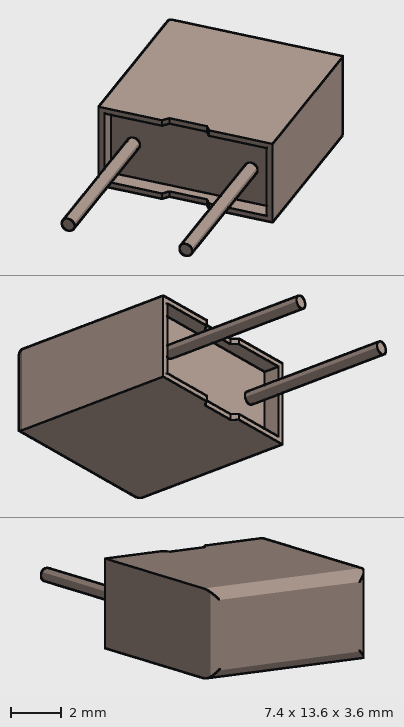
import cadquery as cq

case_width = 7.4
case_depth = 7.6
case_height = 3.6
wall = 0.25
back_radius = 0.5

notch_width = 2.0
notch_depth = 0.26
notch_slope_width = 0.205

fill_recess = 0.7
cavity_width = case_width - 2 * wall
cavity_depth = case_depth - wall
cavity_height = case_height - 2 * wall

lead_pitch = 5.0
lead_diameter = 0.55
lead_projection = 6.0


def block(width, height, y_start, y_end):
    """Box centred on the Y axis that spans y_start to y_end."""
    return (
        cq.Workplane("XY")
        .box(width, y_end - y_start, height, centered=(True, False, True))
        .translate((0, y_start, 0))
    )


def make_notch_cutter():
    """Notch outline with sloping ends, run through both walls."""
    half_width = notch_width / 2
    half_floor = half_width - notch_slope_width
    return (
        cq.Workplane("XY")
        .moveTo(-half_width, 0)
        .lineTo(-half_floor, notch_depth)
        .lineTo(half_floor, notch_depth)
        .lineTo(half_width, 0)
        .close()
        .extrude(case_height / 2, both=True)
    )


def make_case():
    shell = block(case_width, case_height, 0, case_depth)
    shell = shell.faces(">Y").edges().fillet(back_radius)
    cavity = block(cavity_width, cavity_height, 0, cavity_depth)
    return shell.cut(cavity).cut(make_notch_cutter())


def make_fill():
    return block(cavity_width, cavity_height, fill_recess, cavity_depth)


def make_lead(x):
    """Round lead that runs from the face of the fill out past the mouth."""
    lead_length = fill_recess + lead_projection
    return (
        cq.Workplane("XZ", origin=(x, fill_recess, 0))
        .circle(lead_diameter / 2)
        .extrude(lead_length)
    )


case = make_case()
fill = make_fill()
leads = [make_lead(side * lead_pitch / 2) for side in (-1, 1)]

result = cq.Compound.makeCompound([case.val(), fill.val(), *[lead.val() for lead in leads]])